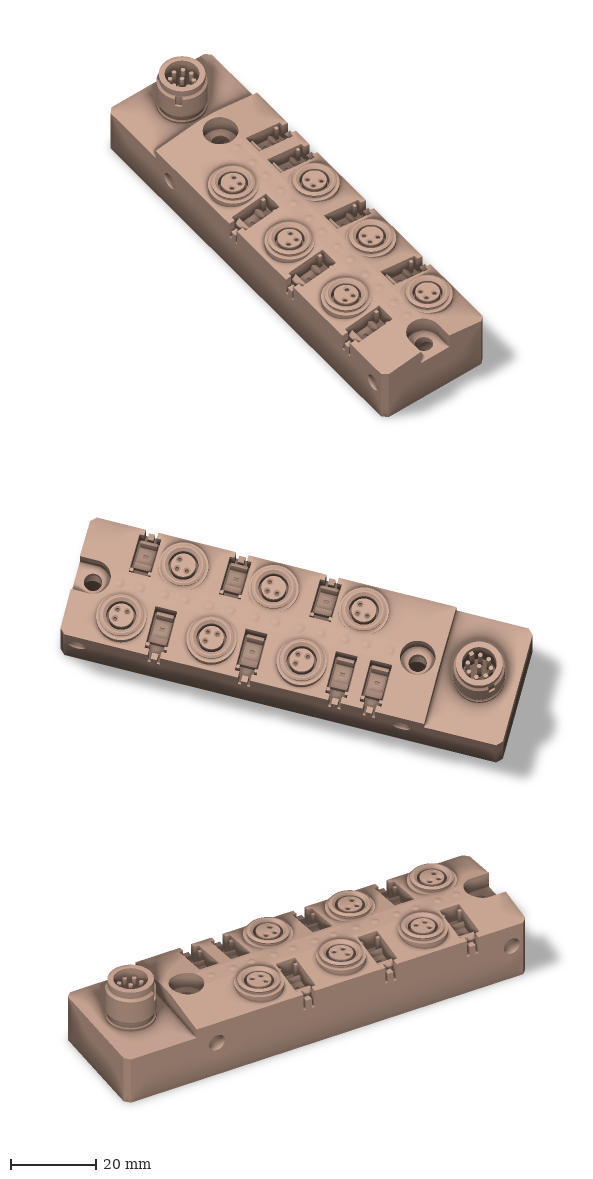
import cadquery as cq
import math

LENGTH = 107.5
WIDTH = 30.0
PLATFORM_LENGTH = 18.8
PLATFORM_Z = 12.7
EAVE_Z = 15.2
RIDGE_Z = 17.0
RIDGE_HALF_WIDTH = 2.5
CORNER_CHAMFER = 1.3
HALF_WIDTH = WIDTH / 2
ROOF_SLOPE = (RIDGE_Z - EAVE_Z) / (HALF_WIDTH - RIDGE_HALF_WIDTH)

HOLE_X = (24.3, 103.2)
HOLE_RADIUS = 2.2
COUNTERBORE_RADIUS = 4.2
SIDE_HOLE_Z = 9.4

PLUG_X = 9.4
PLUG_TOP_Z = 23.6
PLUG_RADIUS = 6.0
PLUG_NECK_RADIUS = 5.5
PLUG_FLANGE_HEIGHT = 0.6
PLUG_BODY_BOTTOM_Z = 15.2
PLUG_CONE_Z = 21.2
PLUG_BODY_TOP_Z = 21.8
PLUG_BORE_RADIUS = 4.1
PLUG_BORE_FLOOR_Z = 15.0
PLUG_PIN_RADIUS = 0.5
PLUG_PIN_CIRCLE_RADIUS = 2.8
PLUG_PIN_TIP_Z = 21.9
PLUG_RING_PINS = 7
PLUG_FIRST_PIN_ANGLE = -3
PLUG_PIN_ANGLE_STEP = 47
PLUG_COLLAR_RADIUS = 0.81
PLUG_COLLAR_HEIGHT = 0.3
PLUG_KEY_ANGLE = -45
PLUG_KEY_WIDTH = 1.1
PLUG_KEY_HEIGHT = 1.0
PLUG_KEY_TOP_Z = 21.9
PLUG_NOTCH_WIDTH = 1.7
PLUG_NOTCH_BOTTOM_Z = 18.8
PLUG_NOTCH_ANGLES = (-45, 135)

SOCKET_PITCH = 11.0
SOCKET_FIRST_X = 39.5
SOCKET_Y = 7.8
SOCKETS_PER_SIDE = 3
SOCKET_BASE_RADIUS = 5.9
SOCKET_NECK_RADIUS = 4.9
SOCKET_RIM_RADIUS = 5.2
SOCKET_TOP_RADIUS = 4.6
SOCKET_LIP_RADIUS = 4.3
SOCKET_BORE_RADIUS = 3.5
SOCKET_CORE_RADIUS = 2.9
SOCKET_NECK_Z = 17.5
SOCKET_RIM_Z = 18.0
SOCKET_TOP_Z = 18.3
SOCKET_CORE_Z = 17.8
SOCKET_LIP_DEPTH = 0.6
SOCKET_GROOVE_DEPTH = 3.2
CONTACT_MOUTH_RADIUS = 0.9
CONTACT_RADIUS = 0.48
CONTACT_MOUTH_DEPTH = 0.3
CONTACT_DEPTH = 1.1
CONTACT_OFFSET = 1.2

LAMP_RADIUS = 1.02
LAMP_HEIGHT = 0.2
FIRST_LAMP_X = 30.9
LAMP_PAIR_FIRST_X = 36.8
LAMP_PAIR_SPACING = 5.0
LAMP_PAIRS = 6

POCKET_WIDTH = 5.3
POCKET_INNER_Y = 3.3
POCKET_OUTER_Y = 13.4
POCKET_DEPTH = 4.6
LOWER_POCKET_FIRST_X = 48.9
UPPER_POCKET_FIRST_X = 40.6
EXTRA_POCKET_X = 32.2
CHANNEL_WIDTH = 3.0
TONGUE_WIDTH = 1.5
TONGUE_TOP_Z = 13.1
POST_SIZE = 0.81
POST_DEPTH = 0.9
POST_BEFORE_INSERT = 1.3
INSERT_WIDTH = 4.1
INSERT_START_LOWER_Y = -5.7
INSERT_START_UPPER_Y = 10.9
INSERT_PLATE_DEPTH = 3.4
INSERT_START_DEPTH = 3.0
INSERT_RIDGE_DEPTH = 2.0
INSERT_LIP_DEPTH = 1.2
INSERT_END_DEPTH = 2.2
INSERT_RIDGE_AT = 1.2
INSERT_PLATE_START = 1.6
INSERT_PLATE_END = 5.7
INSERT_LIP_AT = 6.0
INSERT_LENGTH = 7.1
WINDOW_AT = 3.5
WINDOW_LENGTH = 1.2
WINDOW_WIDTH = 0.9
WINDOW_DEPTH = 0.3


def roof_z(y):
    """Height of the roof slope at a distance y from the centre line."""
    return RIDGE_Z - ROOF_SLOPE * (abs(y) - RIDGE_HALF_WIDTH)


def cylinder(x, y, radius, bottom, top):
    column = cq.Workplane("XY").center(x, y).circle(radius).extrude(top - bottom)
    return column.translate((0, 0, bottom))


def block(x, y_limits, width, z_limits):
    """Box centred on x, between the given Y and Z limits."""
    y_low, y_high = sorted(y_limits)
    z_low, z_high = z_limits
    box = cq.Workplane("XY").box(width, y_high - y_low, z_high - z_low, centered=(True, False, False))
    return box.translate((x, y_low, z_low))


def cross_section(x, width, points):
    """YZ outline extruded along X and centred on x."""
    return cq.Workplane("YZ").polyline(points).close().extrude(width / 2, both=True).translate((x, 0, 0))


def turned(x, y, profile):
    """Solid of revolution about a vertical axis from (radius, z) points."""
    return cq.Workplane("XZ").polyline(profile).close().revolve(360, (0, 0), (0, 1)).translate((x, y, 0))


def make_housing():
    """Gabled block with chamfered upright corners and the platform step cut out."""
    gable = [
        (-HALF_WIDTH, 0),
        (HALF_WIDTH, 0),
        (HALF_WIDTH, EAVE_Z),
        (RIDGE_HALF_WIDTH, RIDGE_Z),
        (-RIDGE_HALF_WIDTH, RIDGE_Z),
        (-HALF_WIDTH, EAVE_Z),
    ]
    housing = cross_section(LENGTH / 2, LENGTH, gable)
    across = (-HALF_WIDTH, HALF_WIDTH)
    above_platform = block(PLATFORM_LENGTH / 2, across, PLATFORM_LENGTH, (PLATFORM_Z, RIDGE_Z))
    envelope = cq.Workplane("XY").box(LENGTH, WIDTH, RIDGE_Z, centered=(False, True, False))
    envelope = envelope.edges("|Z").chamfer(CORNER_CHAMFER)
    return housing.cut(above_platform).intersect(envelope)


def cut_mounting_holes(body):
    """Counterbored vertical holes, each crossed by a horizontal hole through the sides."""
    for x in HOLE_X:
        body = body.cut(cylinder(x, 0, HOLE_RADIUS, 0, RIDGE_Z))
        body = body.cut(cylinder(x, 0, COUNTERBORE_RADIUS, PLATFORM_Z, RIDGE_Z))
        side_hole = cq.Workplane("XZ").center(x, SIDE_HOLE_Z).circle(HOLE_RADIUS)
        body = body.cut(side_hole.extrude(HALF_WIDTH, both=True))
    run_out = LENGTH - HOLE_X[1]
    y_limits = (-COUNTERBORE_RADIUS, COUNTERBORE_RADIUS)
    return body.cut(block(LENGTH - run_out / 2, y_limits, run_out, (PLATFORM_Z, RIDGE_Z)))


def plug_radial_block(angle, reach, width, z_limits):
    """Block pointing away from the plug axis, reaching between two radii at an angle from +X."""
    radial = block(0, reach, width, z_limits).rotate((0, 0, 0), (0, 0, 1), angle - 90)
    return radial.translate((PLUG_X, 0, 0))


def make_plug():
    """Hollow shell with notches outside and a key and contact pins inside."""
    flange_z = PLATFORM_Z + PLUG_FLANGE_HEIGHT
    plug = turned(PLUG_X, 0, [
        (0, PLATFORM_Z),
        (PLUG_RADIUS, PLATFORM_Z),
        (PLUG_RADIUS, flange_z),
        (PLUG_NECK_RADIUS, flange_z),
        (PLUG_NECK_RADIUS, PLUG_BODY_BOTTOM_Z),
        (PLUG_RADIUS, PLUG_BODY_BOTTOM_Z),
        (PLUG_RADIUS, PLUG_CONE_Z),
        (PLUG_NECK_RADIUS, PLUG_BODY_TOP_Z),
        (PLUG_NECK_RADIUS, PLUG_TOP_Z),
        (PLUG_BORE_RADIUS, PLUG_TOP_Z),
        (PLUG_BORE_RADIUS, PLUG_BORE_FLOOR_Z),
        (0, PLUG_BORE_FLOOR_Z),
    ])
    notch_reach = (PLUG_NECK_RADIUS, PLUG_RADIUS)
    notch_z = (PLUG_NOTCH_BOTTOM_Z, PLUG_BODY_TOP_Z)
    for angle in PLUG_NOTCH_ANGLES:
        plug = plug.cut(plug_radial_block(angle, notch_reach, PLUG_NOTCH_WIDTH, notch_z))
    key_reach = (PLUG_BORE_RADIUS - PLUG_KEY_HEIGHT, (PLUG_BORE_RADIUS + PLUG_NECK_RADIUS) / 2)
    key_z = (PLUG_BORE_FLOOR_Z, PLUG_KEY_TOP_Z)
    plug = plug.union(plug_radial_block(PLUG_KEY_ANGLE, key_reach, PLUG_KEY_WIDTH, key_z))
    pin_places = [(PLUG_X, 0)]
    for index in range(PLUG_RING_PINS):
        turn = math.radians(PLUG_FIRST_PIN_ANGLE + index * PLUG_PIN_ANGLE_STEP)
        pin_x = PLUG_X + PLUG_PIN_CIRCLE_RADIUS * math.cos(turn)
        pin_places.append((pin_x, PLUG_PIN_CIRCLE_RADIUS * math.sin(turn)))
    collar_top = PLUG_BORE_FLOOR_Z + PLUG_COLLAR_HEIGHT
    for x, y in pin_places:
        plug = plug.union(cylinder(x, y, PLUG_COLLAR_RADIUS, PLUG_BORE_FLOOR_Z, collar_top))
        plug = plug.union(cylinder(x, y, PLUG_PIN_RADIUS, PLUG_BORE_FLOOR_Z, PLUG_PIN_TIP_Z))
    return plug


def make_socket(x, y):
    """Round socket with a flared rim, an annular groove and a core with three contacts."""
    groove_z = SOCKET_TOP_Z - SOCKET_GROOVE_DEPTH
    socket = turned(x, y, [
        (0, PLATFORM_Z),
        (SOCKET_BASE_RADIUS, PLATFORM_Z),
        (SOCKET_BASE_RADIUS, RIDGE_Z),
        (SOCKET_NECK_RADIUS, RIDGE_Z),
        (SOCKET_NECK_RADIUS, SOCKET_NECK_Z),
        (SOCKET_RIM_RADIUS, SOCKET_RIM_Z),
        (SOCKET_TOP_RADIUS, SOCKET_TOP_Z),
        (SOCKET_LIP_RADIUS, SOCKET_TOP_Z),
        (SOCKET_BORE_RADIUS, SOCKET_TOP_Z - SOCKET_LIP_DEPTH),
        (SOCKET_BORE_RADIUS, groove_z),
        (SOCKET_CORE_RADIUS, groove_z),
        (SOCKET_CORE_RADIUS, SOCKET_CORE_Z),
        (0, SOCKET_CORE_Z),
    ])
    side = math.copysign(CONTACT_OFFSET, y)
    for dx, dy in ((-CONTACT_OFFSET, -side), (CONTACT_OFFSET, -side), (CONTACT_OFFSET, side)):
        socket = socket.cut(turned(x + dx, y + dy, [
            (0, SOCKET_CORE_Z - CONTACT_DEPTH),
            (CONTACT_RADIUS, SOCKET_CORE_Z - CONTACT_DEPTH),
            (CONTACT_RADIUS, SOCKET_CORE_Z - CONTACT_MOUTH_DEPTH),
            (CONTACT_MOUTH_RADIUS, SOCKET_CORE_Z),
            (0, SOCKET_CORE_Z),
        ]))
    return socket


def socket_clearance(x, y):
    return cylinder(x, y, SOCKET_BASE_RADIUS, PLATFORM_Z, RIDGE_Z)


def make_lamp(x):
    """Shallow domed cap standing on the ridge."""
    sphere_radius = (LAMP_RADIUS ** 2 + LAMP_HEIGHT ** 2) / (2 * LAMP_HEIGHT)
    lamp_top = RIDGE_Z + LAMP_HEIGHT
    sphere = cq.Workplane("XZ").sphere(sphere_radius).translate((x, 0, lamp_top - sphere_radius))
    return sphere.intersect(cylinder(x, 0, 2 * LAMP_RADIUS, RIDGE_Z, lamp_top))


def cut_label_pocket(body, x, side):
    """Pocket with a floor parallel to the roof, open to the side wall through a forked channel."""
    inner, outer, wall = side * POCKET_INNER_Y, side * POCKET_OUTER_Y, side * HALF_WIDTH
    pocket = cross_section(x, POCKET_WIDTH, [
        (inner, RIDGE_Z),
        (inner, roof_z(inner) - POCKET_DEPTH),
        (outer, roof_z(outer) - POCKET_DEPTH),
        (outer, RIDGE_Z),
    ])
    channel = cross_section(x, CHANNEL_WIDTH, [
        (outer, RIDGE_Z),
        (outer, roof_z(outer) - POCKET_DEPTH),
        (wall, roof_z(wall) - POCKET_DEPTH),
        (wall, RIDGE_Z),
    ])
    tongue = block(x, (outer, wall), TONGUE_WIDTH, (0, TONGUE_TOP_Z))
    return body.cut(pocket).cut(channel.cut(tongue))


def make_label_holder(x, side):
    """Label carrier on the pocket floor with two posts on the pocket walls beside its +Y end."""
    start = INSERT_START_UPPER_Y if side > 0 else INSERT_START_LOWER_Y

    def below_roof(distance, depth):
        y = start - distance
        return (y, roof_z(y) - depth)

    holder = cross_section(x, INSERT_WIDTH, [
        below_roof(0, POCKET_DEPTH),
        below_roof(0, INSERT_START_DEPTH),
        below_roof(INSERT_RIDGE_AT, INSERT_RIDGE_DEPTH),
        below_roof(INSERT_PLATE_START, INSERT_PLATE_DEPTH),
        below_roof(INSERT_PLATE_END, INSERT_PLATE_DEPTH),
        below_roof(INSERT_LIP_AT, INSERT_LIP_DEPTH),
        below_roof(INSERT_LENGTH, INSERT_END_DEPTH),
        below_roof(INSERT_LENGTH, POCKET_DEPTH),
    ])
    window_y, plate_z = below_roof(WINDOW_AT, INSERT_PLATE_DEPTH)
    window_ends = (window_y - WINDOW_WIDTH / 2, window_y + WINDOW_WIDTH / 2)
    holder = holder.cut(block(x, window_ends, WINDOW_LENGTH, (plate_z - WINDOW_DEPTH, RIDGE_Z)))

    post_y, post_top = below_roof(-POST_BEFORE_INSERT, POST_DEPTH)
    post_ends = (post_y - POST_SIZE / 2, post_y + POST_SIZE / 2)
    post_offset = (POCKET_WIDTH - POST_SIZE) / 2
    for post_x in (x - post_offset, x + post_offset):
        holder = holder.union(block(post_x, post_ends, POST_SIZE, (post_top - POCKET_DEPTH, post_top)))
    return holder


body = cut_mounting_holes(make_housing())
body = body.union(make_plug())

pocket_places = [(EXTRA_POCKET_X, 1)]
for index in range(SOCKETS_PER_SIDE):
    pair_shift = 2 * index * SOCKET_PITCH
    pocket_places.append((UPPER_POCKET_FIRST_X + pair_shift, 1))
    pocket_places.append((LOWER_POCKET_FIRST_X + pair_shift, -1))
for x, side in pocket_places:
    body = cut_label_pocket(body, x, side)
    body = body.union(make_label_holder(x, side))

for index in range(2 * SOCKETS_PER_SIDE):
    x = SOCKET_FIRST_X + index * SOCKET_PITCH
    y = SOCKET_Y if index % 2 else -SOCKET_Y
    body = body.cut(socket_clearance(x, y)).union(make_socket(x, y))

lamp_places = [FIRST_LAMP_X]
for index in range(LAMP_PAIRS):
    x = LAMP_PAIR_FIRST_X + index * SOCKET_PITCH
    lamp_places += [x, x + LAMP_PAIR_SPACING]
for x in lamp_places:
    body = body.union(make_lamp(x))

result = body